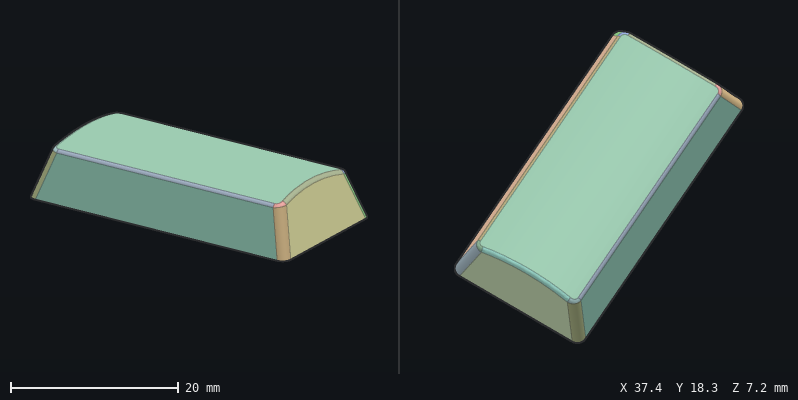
import cadquery as cq

length = 37.35
width = 18.3
height = 7.2
draft_angle = 17.6
crown_radius = 25.0
corner_radius = 1.25
rim_radius = 0.6


def drafted_block():
    """Rectangular block whose four sides lean inward, with rounded corner edges."""
    block = cq.Workplane("XY").rect(length, width).extrude(height, taper=draft_angle)
    slanted_edges = "not(#Z)"
    return block.edges(slanted_edges).fillet(corner_radius)


def crown_cylinder():
    """Cylinder along X whose highest line is the ridge of the crowned top."""
    return (
        cq.Workplane("YZ")
        .center(0, height - crown_radius)
        .circle(crown_radius)
        .extrude(length / 2, both=True)
    )


crowned_block = drafted_block().intersect(crown_cylinder())

result = crowned_block.faces(">Z").edges().fillet(rim_radius)